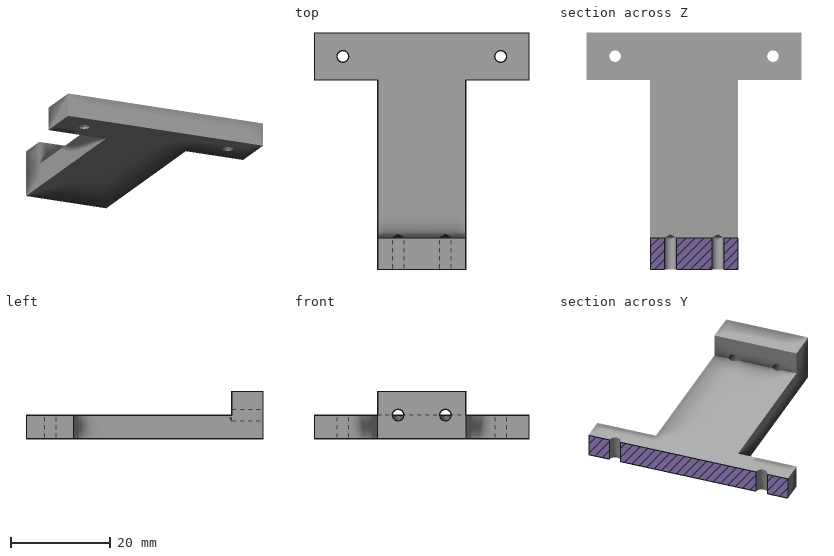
import cadquery as cq
import math

bar_length = 43.18
bar_width = 9.525
part_depth = 47.625
plate_thickness = 4.7625
stem_width = 17.78

block_height = 2 * plate_thickness
block_depth = 6.35

hole_diameter = 2.3
bar_hole_spacing = 31.75
block_hole_spacing = 9.525
drill_point_angle = 118.0

hole_radius = hole_diameter / 2
drill_tip_length = hole_radius / math.tan(math.radians(drill_point_angle / 2))
front_y = -part_depth / 2
back_y = part_depth / 2


def box_from_front(width, depth, height, start_y):
    """Box centred on X, standing on Z = 0 and running toward +Y from start_y."""
    box = cq.Workplane("XY").box(width, depth, height, centered=(True, False, False))
    return box.translate((0, start_y, 0))


def make_body():
    """T-shaped plate with the upright block at the end of its stem."""
    bar = box_from_front(bar_length, bar_width, plate_thickness, back_y - bar_width)
    stem = box_from_front(stem_width, part_depth, plate_thickness, front_y)
    block = box_from_front(stem_width, block_depth, block_height, front_y)
    return bar.union(stem).union(block)


def bar_hole(x):
    """Vertical through hole on the centreline of the crossbar."""
    y = back_y - bar_width / 2
    return cq.Workplane("XY").center(x, y).circle(hole_radius).extrude(plate_thickness)


def block_hole(x):
    """Horizontal drilled hole as deep as the block, its conical tip ending in the plate."""
    drill = (
        cq.Workplane("XY")
        .lineTo(hole_radius, 0)
        .lineTo(hole_radius, block_depth)
        .lineTo(0, block_depth + drill_tip_length)
        .close()
        .revolve(360, (0, 0), (0, 1))
    )
    return drill.translate((x, front_y, block_height / 2))


result = make_body()
for side in (-1, 1):
    result = result.cut(bar_hole(side * bar_hole_spacing / 2))
    result = result.cut(block_hole(side * block_hole_spacing / 2))